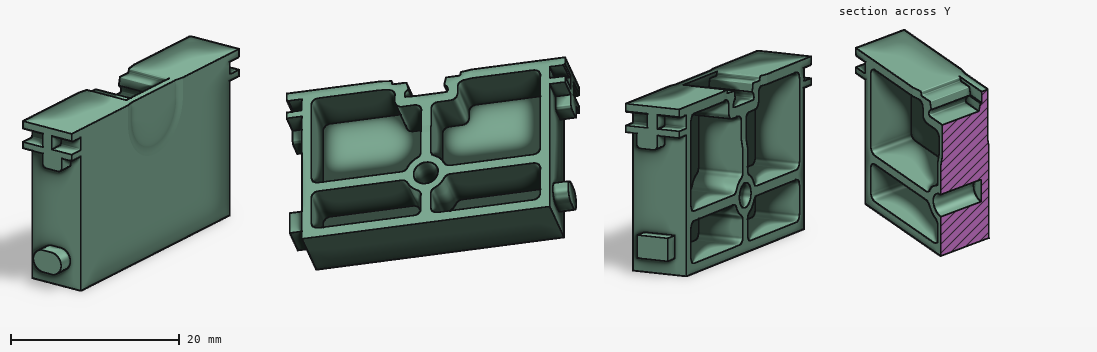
import cadquery as cq

width = 7.15
length = 34.0
height = 20.6
overlap = 0.35

body_length = 30.25
body_end = body_length / 2
left_face = -width / 2
back_wall = 1.22
side_wall = 1.15
edge_wall = 1.22
rib = 1.2
rib_height = 6.97
pocket_radius = 0.85
pocket_floor = left_face + width - back_wall

hub_radius = 2.48
hub_hole_radius = 1.5

block_width = 7.65
block_bottom = 16.8

slot_end = 2.4
ledge_half = 4.18
ledge_depth = 0.5
ledge_radius = 0.2
neck_top_half = 2.4
neck_half = 2.18
neck_edge_radius = 0.15
channel_half = 2.65
channel_top = 19.07
channel_bottom = 18.05
channel_radius = 0.3
channel_inset = 0.1
channel_end_top = 2.25
channel_end_bottom = 2.0

relief_depth = 0.2
relief_rim = 1.1
relief_outer_radius = 5.58
relief_height = 18.22

rail_reach = (length - body_length) / 2
rail_bottom = height - 3.47
groove_top = height - 1.05
groove_bottom = height - 2.65
groove_radius = 0.2
tip_chamfer_length = 0.2
tip_chamfer_rise = 0.15
web = 1.33
boss_right = 2.1
boss_bottom = height - 5.25
boss_radius = 0.5

pin_width = 4.05
pin_height = 2.8
pin_centre = 3.45


def box(x0, x1, y0, y1, z0, z1):
    """Box between two opposite corners."""
    return cq.Workplane("XY").box(x1 - x0, y1 - y0, z1 - z0, centered=False).translate((x0, y0, z0))


def rod(radius, x0, x1):
    """Cylinder along X through the hub centre."""
    return cq.Workplane("YZ", origin=(x0, 0, rib_height)).circle(radius).extrude(x1 - x0)


def pocket(z0, z1, obstacles):
    """Pocket on the +Y side between two heights, rounded after the obstacles are left standing."""
    shape = box(left_face - overlap, pocket_floor, rib / 2, body_end - side_wall, z0, z1)
    for obstacle in obstacles:
        shape = shape.cut(obstacle)
    return shape.edges("|X").fillet(pocket_radius)


def both_pockets():
    """Upper and lower pocket of the +Y half."""
    reach = width
    hub = rod(hub_radius, -reach, reach)
    block = box(-reach, reach, -block_width / 2, block_width / 2, block_bottom, height)
    upper = pocket(rib_height + rib / 2, height - edge_wall, [hub, block])
    lower = pocket(edge_wall, rib_height - rib / 2, [hub])
    return upper.union(lower)


def latch_slot():
    """Stepped slot with a wider channel at its bottom whose end wall slopes."""
    start = left_face - overlap
    run = slot_end - start
    ledge_z = height - ledge_depth
    ledge = box(start, slot_end, -ledge_half, ledge_half, ledge_z, height + overlap)
    ledge = ledge.edges("|X and <Z").fillet(ledge_radius)

    lip_block = box(start, slot_end, -ledge_half - ledge_radius, ledge_half + ledge_radius,
                    height - ledge_radius, height + overlap)
    for side in (-1, 1):
        lip = (
            cq.Workplane("YZ", origin=(start, side * (ledge_half + ledge_radius), height - ledge_radius))
            .circle(ledge_radius)
            .extrude(run)
        )
        lip_block = lip_block.cut(lip)

    neck = (
        cq.Workplane("YZ", origin=(start, 0, 0))
        .polyline([
            (-neck_half, channel_top),
            (neck_half, channel_top),
            (neck_top_half, ledge_z),
            (-neck_top_half, ledge_z),
        ])
        .close()
        .extrude(run)
    )

    middle = channel_bottom + channel_radius
    flare = (channel_top - middle) / 2
    channel = (
        cq.Workplane("YZ", origin=(start, 0, 0))
        .moveTo(-channel_half + channel_radius, channel_bottom)
        .lineTo(channel_half - channel_radius, channel_bottom)
        .radiusArc((channel_half, middle), -channel_radius)
        .threePointArc((channel_half - channel_inset, middle + flare), (neck_half, channel_top))
        .lineTo(-neck_half, channel_top)
        .threePointArc((-channel_half + channel_inset, middle + flare), (-channel_half, middle))
        .radiusArc((-channel_half + channel_radius, channel_bottom), -channel_radius)
        .close()
        .extrude(run)
    )
    sloped_end = (
        cq.Workplane("XZ", origin=(0, ledge_half, 0))
        .polyline([
            (start, channel_bottom),
            (channel_end_bottom, channel_bottom),
            (channel_end_top, channel_top),
            (start, channel_top),
        ])
        .close()
        .extrude(2 * ledge_half)
    )

    reach = neck_top_half + neck_edge_radius
    neck_edges = cq.selectors.BoxSelector(
        (start, -reach, ledge_z - neck_edge_radius),
        (slot_end, reach, ledge_z + neck_edge_radius),
    )
    stepped = ledge.union(neck).edges("|X").edges(neck_edges).fillet(neck_edge_radius)
    return stepped.union(lip_block).union(channel.intersect(sloped_end))


def finger_relief():
    """Relief on the -X face: round bottom, open top, sloped rim all round."""
    def outline(plane, radius):
        top = height + overlap
        return (
            plane.moveTo(-radius, top)
            .lineTo(-radius, relief_height)
            .threePointArc((0, relief_height - radius), (radius, relief_height))
            .lineTo(radius, top)
            .close()
        )

    outer = outline(cq.Workplane("YZ", origin=(left_face, 0, 0)), relief_outer_radius)
    inner = outline(outer.workplane(offset=relief_depth), relief_outer_radius - relief_rim)
    return inner.loft(ruled=True, combine=True)


def rail():
    """Rail on the +Y end: top plate, web, lower flange and the boss below it."""
    tip = body_end + rail_reach
    plates = box(left_face, -left_face, body_end, tip, rail_bottom, height)
    groove = (
        cq.Workplane("YZ", origin=(left_face, 0, 0))
        .moveTo(tip, groove_bottom)
        .lineTo(body_end + groove_radius, groove_bottom)
        .radiusArc((body_end, groove_bottom + groove_radius), groove_radius)
        .lineTo(body_end, groove_top)
        .lineTo(tip - tip_chamfer_length, groove_top)
        .lineTo(tip, groove_top + tip_chamfer_rise)
        .close()
        .extrude(width)
    )
    groove = groove.cut(box(-web / 2, web / 2, body_end, tip, groove_bottom, height))
    boss = box(-web / 2, boss_right, body_end, tip, boss_bottom, rail_bottom)
    boss = boss.edges("|Y and <Z").fillet(boss_radius)
    return plates.cut(groove).union(boss)


def round_pin():
    """Rounded pin on the -Y end."""
    return (
        cq.Workplane("XZ", origin=(0, -body_end, pin_centre))
        .slot2D(pin_width, pin_height)
        .extrude(rail_reach)
    )


def square_pin():
    """Rectangular pin on the +Y end."""
    z0 = pin_centre - pin_height / 2
    return box(-pin_width / 2, pin_width / 2, body_end, body_end + rail_reach, z0, z0 + pin_height)


frame = box(left_face, -left_face, -body_end, body_end, 0, height)
pockets = both_pockets()
frame = frame.cut(pockets).cut(pockets.mirror("XZ"))
frame = frame.cut(rod(hub_hole_radius, left_face - overlap, pocket_floor))
frame = frame.cut(latch_slot())

relief = finger_relief()
frame = frame.cut(relief).cut(relief.mirror("YZ"))

end_rail = rail()
result = frame.union(end_rail).union(end_rail.mirror("XZ")).union(round_pin()).union(square_pin())